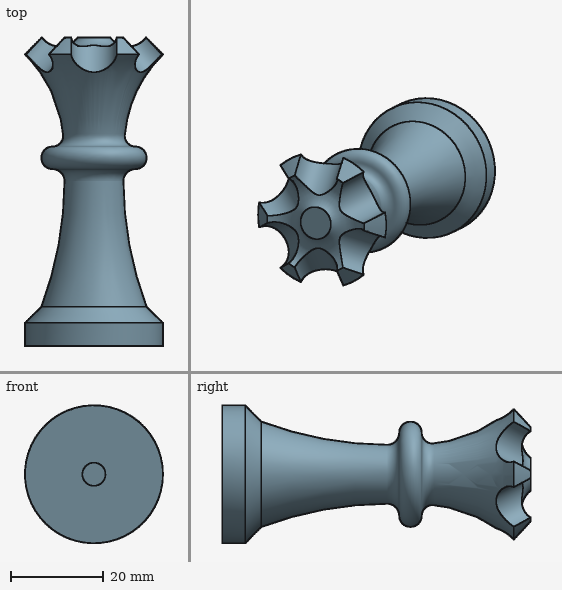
import cadquery as cq
import math

HEIGHT = 67.0

FOOT_RADIUS = 15.0
FOOT_HEIGHT = 5.0
FOOT_BEVEL_TOP = 8.5
BORE_DIAMETER = 5.0
BORE_DEPTH = 10.05

STEM_BASE_RADIUS = 11.45
STEM_MID_RADIUS = 8.7
STEM_MID_Y = 17.35
STEM_TOP_RADIUS = 6.45
COLLAR_RADIUS = 11.45
COLLAR_Y = 40.9
COLLAR_ROUND = 2.5
LOWER_NECK_HEIGHT = 2.55
UPPER_NECK_HEIGHT = 2.7

NECK_RADIUS = 6.8
CROWN_MID_RADIUS = 9.3
CROWN_MID_Y = 55.4
RIM_RADIUS = 15.0
RIM_BEVEL = 3.7

GROOVE_DEPTH = 1.95
BUTTON_RADIUS = 3.55

NOTCH_COUNT = 6
NOTCH_DIAMETER = 10.0
NOTCH_TILT = 45.0
NOTCH_AXIS_RADIUS = 11.85
NOTCH_AXIS_Y = 66.4
NOTCH_REACH = 13.4


def make_body():
    """Revolve the outline, given as (radius, y), about the Y axis."""
    neck_bottom_y = COLLAR_Y - COLLAR_ROUND - LOWER_NECK_HEIGHT
    neck_top_y = COLLAR_Y + COLLAR_ROUND + UPPER_NECK_HEIGHT
    collar_shoulder = COLLAR_RADIUS - COLLAR_ROUND
    top_radius = RIM_RADIUS - RIM_BEVEL
    groove_radius = (top_radius + BUTTON_RADIUS) / 2
    outline = (
        cq.Workplane("XY")
        .lineTo(FOOT_RADIUS, 0)
        .lineTo(FOOT_RADIUS, FOOT_HEIGHT)
        .lineTo(STEM_BASE_RADIUS, FOOT_BEVEL_TOP)
        .threePointArc((STEM_MID_RADIUS, STEM_MID_Y), (STEM_TOP_RADIUS, neck_bottom_y))
        .tangentArcPoint((collar_shoulder, COLLAR_Y - COLLAR_ROUND), relative=False)
        .threePointArc((COLLAR_RADIUS, COLLAR_Y), (collar_shoulder, COLLAR_Y + COLLAR_ROUND))
        .tangentArcPoint((NECK_RADIUS, neck_top_y), relative=False)
        .threePointArc((CROWN_MID_RADIUS, CROWN_MID_Y), (RIM_RADIUS, HEIGHT - RIM_BEVEL))
        .lineTo(top_radius, HEIGHT)
        .threePointArc((groove_radius, HEIGHT - GROOVE_DEPTH), (BUTTON_RADIUS, HEIGHT))
        .lineTo(0, HEIGHT)
        .close()
    )
    return outline.revolve(360, (0, 0, 0), (0, 1, 0))


def make_notch(angle):
    """Tilted cylinder crossing the rim at the given angle about Y, measured from +Z."""
    tilt = math.radians(NOTCH_TILT)
    outward = cq.Vector(0, -math.sin(tilt), math.cos(tilt))
    start = cq.Vector(0, NOTCH_AXIS_Y, NOTCH_AXIS_RADIUS) - outward * NOTCH_REACH
    notch = cq.Solid.makeCylinder(NOTCH_DIAMETER / 2, 2 * NOTCH_REACH, start, outward)
    return cq.Workplane(notch).rotate((0, 0, 0), (0, 1, 0), angle)


def make_bore():
    """Blind hole in the underside of the foot."""
    bore = cq.Solid.makeCylinder(
        BORE_DIAMETER / 2, BORE_DEPTH, cq.Vector(0, 0, 0), cq.Vector(0, 1, 0)
    )
    return cq.Workplane(bore)


result = make_body().cut(make_bore())
for index in range(NOTCH_COUNT):
    result = result.cut(make_notch(index * 360 / NOTCH_COUNT))